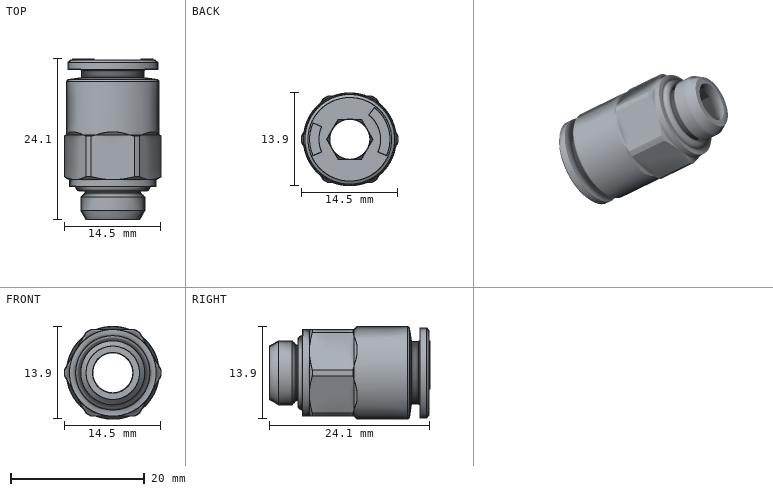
import cadquery as cq
import math


BORE_DIA = 6.0
TIP_DIA = 8.0
THREAD_DIA = 9.6
NECK_DIA = 8.3
SEAL_DIA = 11.13
FLANGE_DIA = 13.0
HEX_CORNER_DIA = 14.5
BODY_DIA = 13.9
BODY_END_DIA = 13.45
SLEEVE_DIA = 9.4
SLEEVE_ROOT_DIA = 9.6
COLLAR_DIA = 13.5
COLLAR_FACE_DIA = 12.53

HEX_FLATS = FLANGE_DIA
SOCKET_FLATS = BORE_DIA

THREAD_START = 1.4
THREAD_END = 3.37
NECK_START = 4.02
FLANGE_START = 5.0
HEX_START = 6.0
HEX_END = 12.7
BODY_CHAMFER_START = 20.73
BODY_END = 21.0
SLEEVE_START = 21.28
SLEEVE_FLARE_START = 22.35
COLLAR_START = 22.53
COLLAR_BEVEL_START = 23.57
COLLAR_END = 23.95
OVERALL_LENGTH = 24.1
SOCKET_START = 1.57

HEX_CHAMFER_ANGLE = 30.0
HEX_RUNOUT_ANGLE = 45.0

PAD_INNER_DIA = 9.25
PAD_OUTER_DIA = 12.05
PAD_ANGLES = [(-24.0, 24.0), (128.0, 204.0)]


def revolve_y(profile):
    """Turn a closed half profile, drawn as (radius, y), about the Y axis."""
    return profile.close().revolve(360, (0, 0, 0), (0, 1, 0))


def plane_at(y):
    """Plane across the axis whose normal is +Y and whose local x is +X."""
    return cq.Workplane(cq.Plane(origin=(0, y, 0), xDir=(1, 0, 0), normal=(0, 1, 0)))


def hex_prism(flats, start, length, draft=0):
    """Hexagonal prism along +Y with two corners on the X axis; a negative draft widens it."""
    corner_dia = flats / math.cos(math.radians(30))
    return plane_at(start).polygon(6, corner_dia).extrude(length, taper=draft)


def nose():
    """Threaded tip, neck and flange; the seal is a half-round ring on the flange's face."""
    seal_radius = (SEAL_DIA - NECK_DIA) / 4
    seal_crest = (NECK_DIA / 2 + seal_radius, FLANGE_START - seal_radius)
    return revolve_y(
        cq.Workplane("XY")
        .moveTo(0, 0)
        .lineTo(TIP_DIA / 2, 0)
        .lineTo(THREAD_DIA / 2, THREAD_START)
        .lineTo(THREAD_DIA / 2, THREAD_END)
        .lineTo(NECK_DIA / 2, NECK_START)
        .lineTo(NECK_DIA / 2, FLANGE_START)
        .threePointArc(seal_crest, (SEAL_DIA / 2, FLANGE_START))
        .lineTo(FLANGE_DIA / 2, FLANGE_START)
        .lineTo(FLANGE_DIA / 2, HEX_START)
        .lineTo(0, HEX_START)
    )


def hex_nut():
    """Hexagon with its corners turned down and both ends chamfered."""
    chamfer_slope = math.tan(math.radians(HEX_CHAMFER_ANGLE))
    front_chamfer = (HEX_CORNER_DIA - FLANGE_DIA) / 2 * chamfer_slope
    rear_chamfer = (HEX_CORNER_DIA - BODY_DIA) / 2 * chamfer_slope
    blank = revolve_y(
        cq.Workplane("XY")
        .moveTo(0, HEX_START)
        .lineTo(FLANGE_DIA / 2, HEX_START)
        .lineTo(HEX_CORNER_DIA / 2, HEX_START + front_chamfer)
        .lineTo(HEX_CORNER_DIA / 2, HEX_END - rear_chamfer)
        .lineTo(BODY_DIA / 2, HEX_END)
        .lineTo(0, HEX_END)
    )
    return blank.intersect(hex_prism(HEX_FLATS, HEX_START, HEX_END - HEX_START))


def body():
    """Round body; sloped planes lead from the hexagon's flats out to its surface."""
    barrel = revolve_y(
        cq.Workplane("XY")
        .moveTo(0, HEX_END)
        .lineTo(BODY_DIA / 2, HEX_END)
        .lineTo(BODY_DIA / 2, BODY_CHAMFER_START)
        .lineTo(BODY_END_DIA / 2, BODY_END)
        .lineTo(SLEEVE_DIA / 2, SLEEVE_START)
        .lineTo(0, SLEEVE_START)
    )
    return barrel.intersect(hex_prism(HEX_FLATS, HEX_END, SLEEVE_START - HEX_END, -HEX_RUNOUT_ANGLE))


def release_collar():
    """Sleeve and the bevelled push collar on its end."""
    return revolve_y(
        cq.Workplane("XY")
        .moveTo(0, SLEEVE_START)
        .lineTo(SLEEVE_DIA / 2, SLEEVE_START)
        .lineTo(SLEEVE_DIA / 2, SLEEVE_FLARE_START)
        .lineTo(SLEEVE_ROOT_DIA / 2, COLLAR_START)
        .lineTo(COLLAR_DIA / 2, COLLAR_START)
        .lineTo(COLLAR_DIA / 2, COLLAR_BEVEL_START)
        .lineTo(COLLAR_FACE_DIA / 2, COLLAR_END)
        .lineTo(0, COLLAR_END)
    )


def polar(diameter, angle):
    """Point on a circle in an end plane, whose local y points along -Z."""
    radius = diameter / 2
    return (radius * math.cos(math.radians(angle)), -radius * math.sin(math.radians(angle)))


def face_pad(first, last):
    """Ring-shaped pad standing on the collar's end face between two angles."""
    middle = (first + last) / 2
    return (
        plane_at(COLLAR_END)
        .moveTo(*polar(PAD_OUTER_DIA, first))
        .threePointArc(polar(PAD_OUTER_DIA, middle), polar(PAD_OUTER_DIA, last))
        .lineTo(*polar(PAD_INNER_DIA, last))
        .threePointArc(polar(PAD_INNER_DIA, middle), polar(PAD_INNER_DIA, first))
        .close()
        .extrude(OVERALL_LENGTH - COLLAR_END)
    )


def passage():
    """Round bore at the tip that opens into a hexagonal passage through the rest."""
    bore = plane_at(0).circle(BORE_DIA / 2).extrude(SOCKET_START)
    return bore.union(hex_prism(SOCKET_FLATS, SOCKET_START, OVERALL_LENGTH - SOCKET_START))


result = nose().union(hex_nut()).union(body()).union(release_collar())
for first_angle, last_angle in PAD_ANGLES:
    result = result.union(face_pad(first_angle, last_angle))
result = result.cut(passage())